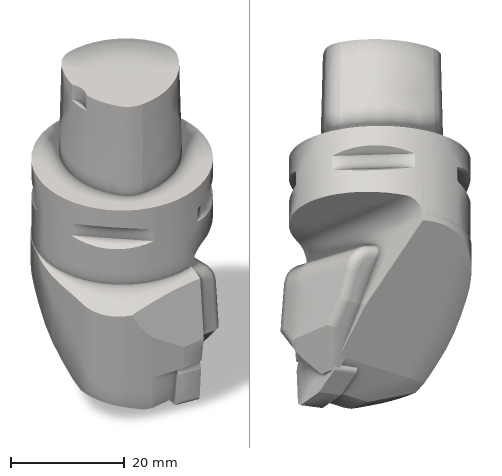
import cadquery as cq
import math


SHANK_LENGTH = 18.9
SHANK_LOBE_REACH = 11.6
SHANK_FLAT_REACH = 10.2
SHANK_LOBE_RADIUS = 5.25
SHANK_FIRST_LOBE = 90
SHANK_LOBES = 3
SHANK_LOBE_PITCH = 360 / SHANK_LOBES
SHANK_TAPER = 1 / 40
KEYWAY_RADIUS = 3.85
KEYWAY_Y = -12.8
KEYWAY_DEPTH = 3.25

COLLAR_DIAMETER = 32.0
COLLAR_RADIUS = COLLAR_DIAMETER / 2
COLLAR_HEIGHT = COLLAR_RADIUS
GROOVE_Z = -6.0
GROOVE_FLOOR_HEIGHT = 2.55
GROOVE_MOUTH_HEIGHT = 4.7
GROOVE_DEPTH = 1.75
GROOVE_COUNT = 4

WALL_Y = 3.55
NOTCH_EDGE_Z = -12.1
NOTCH_ROOF_ANGLE = 4.7
NOTCH_FILLET = 3.25

HEAD_RADIUS = 16.15
HEAD_FLAT_Y = -17.75
FLANK_ANGLE = 20.8
FLANK_LENGTH = 2.85
FRONT_FLAT_START_X = 5.65
FRONT_FLAT_END_X = 11.5
CORNER_END = (18.7, -13.15)
SIDE_MIDDLE = (19.7, -11.25)
SIDE_START = (20.4, -9.2)
SIDE_END = (21.55, -3.0)
SHOULDER_ANGLE = 15
END_FACE_X = 18.65
END_FACE_Z = -16.7
SLOPE_START_Z = -16.95
SLOPE_ANGLE = 36.4
TOE_X = 8.55
TOE_ANGLE = 25.2
HEAD_BOTTOM_Z = -38.45
BEVEL_START_Y = -10.6
BEVEL_ANGLE = 17.2
RELIEF_X = SIDE_START[0]
RELIEF_Z = -32.0

INSERT_INRADIUS = 4.8
INSERT_THICKNESS = 4.7
INSERT_CENTRE = (16.95, -34.9)
INSERT_CORNERS = 3
NOSE_ANGLE = 80
NOSE_DIRECTION = -45.5
NOSE_RADIUS = 0.8
NOSE_X = 21.95
NOSE_Z = -40.1
RAKE_ANGLE = 6
RAKE_SLOPE = math.tan(math.radians(RAKE_ANGLE))

BOSS_FRONT_Y = 0.6
BOSS_DEPTH = 11.8
BOSS_OUTLINE = [
    (-7.15, -15.35), (1.25, -28.0), (8.55, -35.15), (10.6, -37.05),
    (13.55, -37.05), (20.3, -27.75), (20.3, -15.35),
]
BOSS_TOP_POINT = (16.5, 3.55, -16.35)
BOSS_TOP_NORMAL = (-0.09, 0.25, 1)
BOSS_BACK_POINT = (0, 8.45, -21.35)
BOSS_BACK_LEAN = 9.2
BOSS_CHIN_POINT = (0, 3.8, -34.8)
BOSS_CHIN_LEAN = 40.5
BOSS_SIDE_POINT = (20.3, 2.55, -27.75)
BOSS_SIDE_YAW = 12.8
BOSS_TOP_FILLET = 3.85
BOSS_LEFT_FILLET = 1.55
BOSS_RIGHT_FILLET = 2.35
BOSS_TOP_EDGE = [(5.9, 8.9, -18.65)]
BOSS_LEFT_EDGES = [(-5.25, 2.95, -18.2), (2.85, 7.2, -29.6), (6.5, 5.2, -33.15), (9.6, 2.7, -36.1)]
BOSS_RIGHT_EDGES = [(17.0, 3.1, -16.15), (18.7, 7.1, -30.0)]

REACH = 88.5
CLEARANCE = 0.6


def sine(angle):
    return math.sin(math.radians(angle))


def cosine(angle):
    return math.cos(math.radians(angle))


def half_space(point, normal):
    """Block that fills the side of a plane that the normal points to."""
    return cq.Workplane(cq.Plane(origin=point, normal=normal)).rect(2 * REACH, 2 * REACH).extrude(REACH)


def polar(radius, angle):
    return cq.Vector(radius * cosine(angle), radius * sine(angle))


def shank_section(z):
    """Outline at height z: three lobe arcs blended into three flatter arcs, one lobe towards +Y."""
    inset = SHANK_TAPER * z
    half_pitch = SHANK_LOBE_PITCH / 2
    lobe_offset = SHANK_LOBE_REACH - SHANK_LOBE_RADIUS
    gap = SHANK_FLAT_REACH - SHANK_LOBE_RADIUS
    flat_offset = (lobe_offset**2 - gap**2) / (2 * gap - lobe_offset)
    blend_across = flat_offset * sine(half_pitch)
    blend_along = lobe_offset + flat_offset * cosine(half_pitch)
    blend_angle = math.degrees(math.atan2(blend_across, blend_along))
    lift = cq.Vector(0, 0, z)
    arcs = []
    for index in range(SHANK_LOBES):
        lobe_angle = SHANK_FIRST_LOBE + index * SHANK_LOBE_PITCH
        lobe_centre = polar(lobe_offset, lobe_angle)
        next_centre = polar(lobe_offset, lobe_angle + SHANK_LOBE_PITCH)
        radius = SHANK_LOBE_RADIUS - inset
        start = lobe_centre + polar(radius, lobe_angle - blend_angle) + lift
        tip = polar(SHANK_LOBE_REACH - inset, lobe_angle) + lift
        end = lobe_centre + polar(radius, lobe_angle + blend_angle) + lift
        flat_middle = polar(SHANK_FLAT_REACH - inset, lobe_angle + half_pitch) + lift
        next_start = next_centre + polar(radius, lobe_angle + SHANK_LOBE_PITCH - blend_angle) + lift
        arcs.append(cq.Edge.makeThreePointArc(start, tip, end))
        arcs.append(cq.Edge.makeThreePointArc(end, flat_middle, next_start))
    return cq.Wire.assembleEdges(arcs)


def make_shank():
    shank = cq.Workplane(cq.Solid.makeLoft([shank_section(0), shank_section(SHANK_LENGTH)], True))
    keyway = (
        cq.Workplane("XY", origin=(0, KEYWAY_Y, SHANK_LENGTH - KEYWAY_DEPTH))
        .circle(KEYWAY_RADIUS)
        .extrude(KEYWAY_DEPTH)
    )
    return shank.cut(keyway)


def gripper_groove(angle):
    """Straight groove with flared walls, cut as a chord across the collar rim."""
    floor_x = COLLAR_RADIUS - GROOVE_DEPTH
    floor_half = GROOVE_FLOOR_HEIGHT / 2
    mouth_half = GROOVE_MOUTH_HEIGHT / 2
    return (
        cq.Workplane("XZ")
        .polyline([
            (floor_x, GROOVE_Z - floor_half),
            (COLLAR_RADIUS, GROOVE_Z - mouth_half),
            (COLLAR_RADIUS, GROOVE_Z + mouth_half),
            (floor_x, GROOVE_Z + floor_half),
        ])
        .close()
        .extrude(COLLAR_RADIUS, both=True)
        .rotate((0, 0, 0), (0, 0, 1), angle)
    )


def make_collar():
    collar = cq.Workplane("XY").circle(COLLAR_RADIUS).extrude(-COLLAR_HEIGHT)
    for index in range(GROOVE_COUNT):
        collar = collar.cut(gripper_groove(360 * (index + 0.5) / GROOVE_COUNT))
    return collar


def make_notch():
    """Cutter that opens the collar above the boss, rounded into the back wall."""
    drop = math.tan(math.radians(NOTCH_ROOF_ANGLE))
    roof_outer_y = COLLAR_RADIUS + CLEARANCE
    notch = (
        cq.Workplane("YZ")
        .polyline([
            (WALL_Y, -COLLAR_HEIGHT - CLEARANCE),
            (WALL_Y, NOTCH_EDGE_Z - drop * (COLLAR_RADIUS - WALL_Y)),
            (roof_outer_y, NOTCH_EDGE_Z + drop * (roof_outer_y - COLLAR_RADIUS)),
            (roof_outer_y, -COLLAR_HEIGHT - CLEARANCE),
        ])
        .close()
        .extrude(REACH / 2, both=True)
    )
    inner_corner = cq.selectors.NearestToPointSelector((0, WALL_Y, NOTCH_EDGE_Z))
    return notch.edges("|X").edges(inner_corner).fillet(NOTCH_FILLET)


def head_prism():
    """Upright prism of the head outline, from the collar down."""
    flank_start = (-HEAD_RADIUS * sine(FLANK_ANGLE), -HEAD_RADIUS * cosine(FLANK_ANGLE))
    flank_end = (
        flank_start[0] + FLANK_LENGTH * cosine(FLANK_ANGLE),
        flank_start[1] - FLANK_LENGTH * sine(FLANK_ANGLE),
    )
    round_start = (-math.sqrt(HEAD_RADIUS**2 - WALL_Y**2), WALL_Y)
    return (
        cq.Workplane("XY", origin=(0, 0, -COLLAR_HEIGHT))
        .moveTo(*round_start)
        .threePointArc((-HEAD_RADIUS * cosine(FLANK_ANGLE), -HEAD_RADIUS * sine(FLANK_ANGLE)), flank_start)
        .lineTo(*flank_end)
        .tangentArcPoint((FRONT_FLAT_START_X, HEAD_FLAT_Y), relative=False)
        .lineTo(FRONT_FLAT_END_X, HEAD_FLAT_Y)
        .tangentArcPoint(CORNER_END, relative=False)
        .threePointArc(SIDE_MIDDLE, SIDE_START)
        .lineTo(*SIDE_END)
        .lineTo(SIDE_END[0], WALL_Y)
        .close()
        .extrude(HEAD_BOTTOM_Z + COLLAR_HEIGHT)
    )


def shoulder_cone():
    """Cone that slopes the top of the head away from the collar."""
    foot_radius = COLLAR_RADIUS + (-HEAD_BOTTOM_Z - COLLAR_HEIGHT) / math.tan(math.radians(SHOULDER_ANGLE))
    return (
        cq.Workplane("XZ")
        .polyline([
            (0, -COLLAR_HEIGHT),
            (COLLAR_RADIUS, -COLLAR_HEIGHT),
            (foot_radius, HEAD_BOTTOM_Z),
            (0, HEAD_BOTTOM_Z),
        ])
        .close()
        .revolve(360, (0, 0, 0), (0, 1, 0))
    )


def rake_normal():
    return cq.Vector(RAKE_SLOPE, 1, -RAKE_SLOPE).normalized()


def make_head():
    toe_z = SLOPE_START_Z - (TOE_X + HEAD_RADIUS) * math.tan(math.radians(SLOPE_ANGLE))
    head = head_prism().intersect(shoulder_cone())
    trims = [
        ((-HEAD_RADIUS, 0, SLOPE_START_Z), (-sine(SLOPE_ANGLE), 0, -cosine(SLOPE_ANGLE))),
        ((TOE_X, 0, toe_z), (-sine(TOE_ANGLE), 0, -cosine(TOE_ANGLE))),
        ((END_FACE_X, 0, END_FACE_Z), (cosine(SHOULDER_ANGLE), 0, sine(SHOULDER_ANGLE))),
        ((0, BEVEL_START_Y, HEAD_BOTTOM_Z), (0, -sine(BEVEL_ANGLE), -cosine(BEVEL_ANGLE))),
        ((NOSE_X, 0, NOSE_Z), rake_normal().toTuple()),
    ]
    for point, normal in trims:
        head = head.cut(half_space(point, normal))
    relief = cq.Workplane("XY").box(REACH, REACH, REACH, centered=(False, True, False))
    return head.cut(relief.translate((RELIEF_X, 0, RELIEF_Z - REACH)))


def edges_near(body, points):
    """The edge of the body closest to each of the points."""
    chosen = [body.edges(cq.selectors.NearestToPointSelector(point)).val() for point in points]
    return body.newObject(chosen)


def make_boss():
    """Rounded boss behind the head, reaching down over the insert."""
    boss = cq.Workplane("XZ", origin=(0, BOSS_FRONT_Y, 0)).polyline(BOSS_OUTLINE).close().extrude(-BOSS_DEPTH)
    side_normal = (
        cosine(SHOULDER_ANGLE) * cosine(BOSS_SIDE_YAW),
        cosine(SHOULDER_ANGLE) * sine(BOSS_SIDE_YAW),
        sine(SHOULDER_ANGLE),
    )
    trims = [
        (BOSS_SIDE_POINT, side_normal),
        (BOSS_TOP_POINT, BOSS_TOP_NORMAL),
        (BOSS_BACK_POINT, (0, cosine(BOSS_BACK_LEAN), -sine(BOSS_BACK_LEAN))),
        (BOSS_CHIN_POINT, (0, cosine(BOSS_CHIN_LEAN), -sine(BOSS_CHIN_LEAN))),
    ]
    for point, normal in trims:
        boss = boss.cut(half_space(point, normal))
    boss = edges_near(boss, BOSS_TOP_EDGE).fillet(BOSS_TOP_FILLET)
    boss = edges_near(boss, BOSS_LEFT_EDGES).fillet(BOSS_LEFT_FILLET)
    boss = edges_near(boss, BOSS_RIGHT_EDGES).fillet(BOSS_RIGHT_FILLET)
    return boss.intersect(shoulder_cone())


def make_insert():
    """Trigon plate whose back face lies in the rake plane and whose axis is square to it."""
    normal = rake_normal()
    nose_distance = INSERT_INRADIUS / sine(NOSE_ANGLE / 2)
    flank_turn = 180 / INSERT_CORNERS
    bend_distance = INSERT_INRADIUS / cosine(flank_turn - (90 - NOSE_ANGLE / 2))
    outline = []
    for index in range(INSERT_CORNERS):
        angle = NOSE_DIRECTION + 360 * index / INSERT_CORNERS
        outline.append((nose_distance * cosine(angle), nose_distance * sine(angle)))
        outline.append((bend_distance * cosine(angle + flank_turn), bend_distance * sine(angle + flank_turn)))
    centre_x, centre_z = INSERT_CENTRE
    centre_y = RAKE_SLOPE * (NOSE_X - centre_x + centre_z - NOSE_Z)
    rake_plane = cq.Plane(
        origin=(centre_x, centre_y, centre_z),
        xDir=(1, -RAKE_SLOPE, 0),
        normal=(-normal).toTuple(),
    )
    blank = cq.Workplane(rake_plane).polyline(outline).close().extrude(INSERT_THICKNESS)
    corners = blank.edges(cq.selectors.ParallelDirSelector(normal))
    middle = blank.val().Center()
    nose_limit = (nose_distance + bend_distance) / 2
    noses = [edge for edge in corners.vals() if (edge.Center() - middle).Length > nose_limit]
    return blank.newObject(noses).fillet(NOSE_RADIUS)


insert = make_insert()
holder = make_collar().cut(make_notch())
for feature in (make_shank(), make_head(), make_boss()):
    holder = holder.union(feature)
holder = holder.cut(insert)

result = cq.Compound.makeCompound([holder.val(), insert.val()])